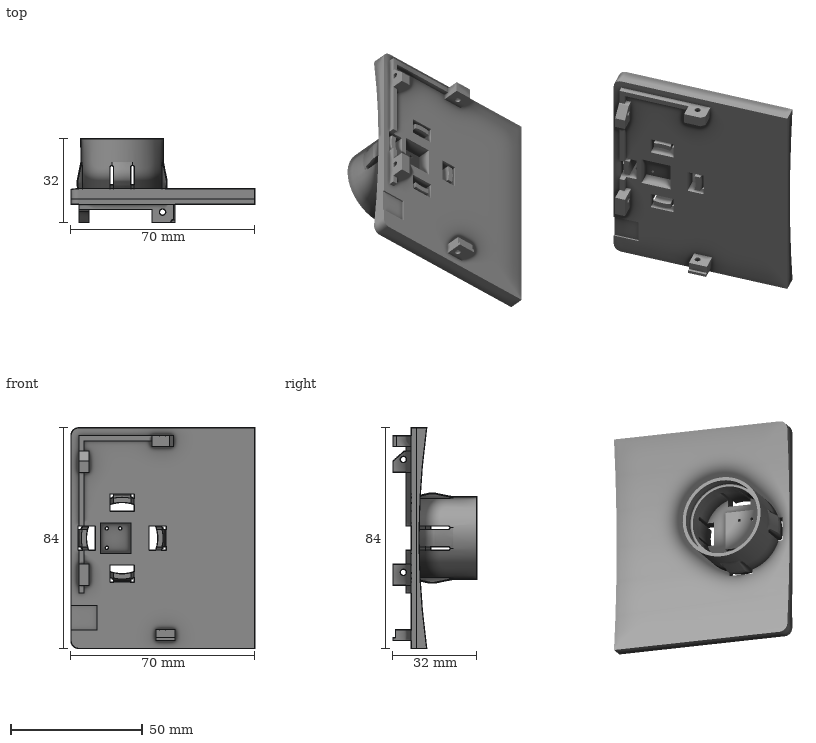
import cadquery as cq
PLATE_WIDTH = 70.0
PLATE_HEIGHT = 84.0
CORNER_RADIUS = 3.0

BACK_THICKNESS = 2.1
FRONT_CENTRE_Y = 3.0
FRONT_EDGE_Y = 6.0
CUP_END_Y = 25.0
TAB_DEPTH = 7.0

CUP_X = 19.5
CUP_RADIUS = 31.5 / 2
CUP_BORE_RADIUS = 13.5
RIM_BORE_RADIUS = 29.0 / 2
RIM_START_Y = 20.0

FLOOR_TOP_Y = 5.55
BOX_TOP_Y = 7.5
BOX_WALL = 1.5
POCKET_X = 17.05
POCKET_SIZE = 11.6
POCKET_FLOOR_Y = 5.5
LEAD_HOLE_DIAMETER = 1.2
LEAD_LEFT_X = 13.7
LEAD_PITCH_X = 5.0
LEAD_PITCH_Z = 7.4

FINGER_WIDTH = 6.6
FINGER_TIP_RADIUS = 15.5
FINGER_BULGE_RADIUS = 17.1
BULGE_START_Y = 7.05
BULGE_END_Y = 9.0
FINGER_ROOT_Y = 16.0
SLOT_SPAN = 9.15
SLOT_END_Y = 14.8
SLOT_WIDTH = (SLOT_SPAN - FINGER_WIDTH) / 2
WINDOW_INNER = 10.25
WINDOW_OUTER = 16.7
FINGER_ANGLES = (0, 90, 180, 270)

RIM_MARGIN = 3.0
RIB_SIZE = 2.0
RIB_BOTTOM_Z = -20.9
SIDE_TAB_WIDTH = 3.95
SIDE_TAB_HEIGHT = 8.1
UPPER_TAB_TOP_Z = 33.1
LOWER_TAB_TOP_Z = -9.9
UPPER_TAB_BEVEL_Y = 4.3
UPPER_TAB_BEVEL_Z = 3.9
TOP_TAB_LEFT_X = 30.8
TOP_TAB_WIDTH = 8.15
TOP_TAB_BEVEL = 1.4
END_TAB_HEIGHT = 4.2
BOTTOM_TAB_LEFT_X = 32.4
BOTTOM_TAB_WIDTH = 7.2
LIP_DEPTH = 1.0
LIP_HEIGHT = 1.2
PIN_HOLE_DIAMETER = 2.3
PIN_HOLE_Y = -2.9
PIN_HOLE_X = 34.9
UPPER_PIN_HOLE_Z = 29.9
LOWER_PIN_HOLE_Z = -13.0

RECESS_WIDTH = 9.9
RECESS_DEPTH = 0.6
RECESS_BOTTOM_Z = -34.9
RECESS_TOP_Z = -25.6


def block(x0, x1, y0, y1, z0, z1):
    """Box between two opposite corners."""
    return cq.Workplane("XY").box(x1 - x0, y1 - y0, z1 - z0, centered=False).translate((x0, y0, z0))


def rod_y(x, z, radius, y0, y1):
    """Cylinder along Y."""
    return cq.Workplane(cq.Solid.makeCylinder(radius, y1 - y0, cq.Vector(x, y0, z), cq.Vector(0, 1, 0)))


def around_cup(shape):
    """Copies of a shape made on the +X side of the cup, one per finger."""
    return [shape.rotate((CUP_X, 0, 0), (CUP_X, 1, 0), angle) for angle in FINGER_ANGLES]


def plate_blank(y0, y1):
    """Flat plate with its two left corners rounded."""
    blank = block(0, PLATE_WIDTH, y0, y1, -PLATE_HEIGHT / 2, PLATE_HEIGHT / 2)
    return blank.edges("|Y and <X").fillet(CORNER_RADIUS)


def window_cutter():
    """Opening for one finger, through the rib, both plates and the cup floor."""
    return block(CUP_X + WINDOW_INNER, CUP_X + WINDOW_OUTER, -TAB_DEPTH, BOX_TOP_Y, -SLOT_SPAN / 2, SLOT_SPAN / 2)


def pocket_cutter():
    """Square sensor pocket, open at the rear face."""
    half = POCKET_SIZE / 2
    return block(POCKET_X - half, POCKET_X + half, 0, POCKET_FLOOR_Y, -half, half)


def cut_plate_openings(plate):
    """Cut the finger windows and the sensor pocket."""
    for window in around_cup(window_cutter()):
        plate = plate.cut(window)
    return plate.cut(pocket_cutter())


def rib():
    """L-shaped rib along the left and top edges."""
    top = PLATE_HEIGHT / 2 - RIM_MARGIN
    upright = block(RIM_MARGIN, RIM_MARGIN + RIB_SIZE, -RIB_SIZE, 0, RIB_BOTTOM_Z, top)
    crossbar = block(RIM_MARGIN, TOP_TAB_LEFT_X, -RIB_SIZE, 0, top - RIB_SIZE, top)
    return upright.union(crossbar)


def side_tab(top_z, hole_z):
    """Tab on the left side with a pin hole along X."""
    right = RIM_MARGIN + SIDE_TAB_WIDTH
    tab = block(RIM_MARGIN, right, -TAB_DEPTH, 0, top_z - SIDE_TAB_HEIGHT, top_z)
    hole = cq.Solid.makeCylinder(
        PIN_HOLE_DIAMETER / 2, SIDE_TAB_WIDTH, cq.Vector(RIM_MARGIN, PIN_HOLE_Y, hole_z), cq.Vector(1, 0, 0)
    )
    return tab.cut(cq.Workplane(hole))


def upper_side_tab():
    """Side tab with its upper rear edge bevelled."""
    bevel = (
        cq.Workplane("YZ", origin=(RIM_MARGIN, 0, 0))
        .moveTo(-TAB_DEPTH, UPPER_TAB_TOP_Z)
        .lineTo(-TAB_DEPTH + UPPER_TAB_BEVEL_Y, UPPER_TAB_TOP_Z)
        .lineTo(-TAB_DEPTH, UPPER_TAB_TOP_Z - UPPER_TAB_BEVEL_Z)
        .close()
        .extrude(SIDE_TAB_WIDTH)
    )
    return side_tab(UPPER_TAB_TOP_Z, UPPER_PIN_HOLE_Z).cut(bevel)


def end_tab_hole(bottom_z):
    """Pin hole along Z through the top or bottom tab."""
    return cq.Workplane(
        cq.Solid.makeCylinder(PIN_HOLE_DIAMETER / 2, END_TAB_HEIGHT, cq.Vector(PIN_HOLE_X, PIN_HOLE_Y, bottom_z))
    )


def top_tab():
    """Tab at the end of the rib's crossbar, with one bevelled corner."""
    top = PLATE_HEIGHT / 2 - RIM_MARGIN
    bottom = top - END_TAB_HEIGHT
    tab = block(TOP_TAB_LEFT_X, TOP_TAB_LEFT_X + TOP_TAB_WIDTH, -TAB_DEPTH, 0, bottom, top)
    tab = tab.edges("|Z and >X and <Y").chamfer(TOP_TAB_BEVEL)
    return tab.cut(end_tab_hole(bottom))


def bottom_tab():
    """Tab near the bottom edge with a small lip at its rear."""
    bottom = -PLATE_HEIGHT / 2 + RIM_MARGIN
    right = BOTTOM_TAB_LEFT_X + BOTTOM_TAB_WIDTH
    shoulder_y = LIP_DEPTH - TAB_DEPTH
    tab = block(BOTTOM_TAB_LEFT_X, right, shoulder_y, 0, bottom, bottom + END_TAB_HEIGHT)
    lip = block(BOTTOM_TAB_LEFT_X, right, -TAB_DEPTH, shoulder_y, bottom, bottom + LIP_HEIGHT)
    return tab.union(lip).cut(end_tab_hole(bottom))


def make_back_plate():
    """Flat rear plate with its rib, four tabs, recess and openings."""
    plate = plate_blank(0, BACK_THICKNESS)
    plate = plate.union(rib())
    plate = plate.union(upper_side_tab())
    plate = plate.union(side_tab(LOWER_TAB_TOP_Z, LOWER_PIN_HOLE_Z))
    plate = plate.union(top_tab())
    plate = plate.union(bottom_tab())
    plate = plate.cut(block(0, RECESS_WIDTH, 0, RECESS_DEPTH, RECESS_BOTTOM_Z, RECESS_TOP_Z))
    return cut_plate_openings(plate)


def front_plate_envelope():
    """Front plate without openings: its outer face is a shallow hollow arc."""
    half = PLATE_HEIGHT / 2
    arc_slab = (
        cq.Workplane("YZ")
        .moveTo(BACK_THICKNESS, -half)
        .lineTo(FRONT_EDGE_Y, -half)
        .threePointArc((FRONT_CENTRE_Y, 0), (FRONT_EDGE_Y, half))
        .lineTo(BACK_THICKNESS, half)
        .close()
        .extrude(PLATE_WIDTH)
    )
    return arc_slab.intersect(plate_blank(BACK_THICKNESS, FRONT_EDGE_Y))


def make_front_plate():
    """Hollow-faced front plate with the finger windows and the pocket."""
    return cut_plate_openings(front_plate_envelope())


def slot_pair():
    """Round-ended slots on both sides of the finger on the +X side."""
    radius = SLOT_WIDTH / 2
    offset = (FINGER_WIDTH + SLOT_WIDTH) / 2
    arc_centre_y = SLOT_END_Y - radius
    slots = cq.Workplane("XY")
    for z in (-offset, offset):
        straight = block(CUP_X, CUP_X + FINGER_BULGE_RADIUS, 0, arc_centre_y, z - radius, z + radius)
        end = cq.Solid.makeCylinder(
            radius, FINGER_BULGE_RADIUS, cq.Vector(CUP_X, arc_centre_y, z), cq.Vector(1, 0, 0)
        )
        slots = slots.add(straight.union(cq.Workplane(end)))
    return slots.combine()


def solid_finger():
    """Snap finger on the +X side, still solid inwards to the cup axis.

    The turned sector is trimmed along the middle of the slots beside the finger.
    """
    profile = [
        (0, 0),
        (FINGER_TIP_RADIUS, 0),
        (FINGER_BULGE_RADIUS, BULGE_START_Y),
        (FINGER_BULGE_RADIUS, BULGE_END_Y),
        (CUP_RADIUS, FINGER_ROOT_Y),
        (0, FINGER_ROOT_Y),
    ]
    axis = ((0, 0, 0), (0, 1, 0))
    sector = cq.Workplane("XY").polyline(profile).close().revolve(180, *axis)
    sector = sector.rotate(*axis, 90)
    if sector.val().BoundingBox().xmax < 0.8:
        sector = sector.rotate(*axis, 180)
    half = (FINGER_WIDTH + SLOT_WIDTH) / 2
    trim = block(CUP_X, CUP_X + FINGER_BULGE_RADIUS, 0, FINGER_ROOT_Y, -half, half)
    return sector.translate((CUP_X, 0, 0)).intersect(trim)


def cup_wall():
    """Tube with snap fingers and slots; its bore is wider in the rim."""
    wall = rod_y(CUP_X, 0, CUP_RADIUS, BACK_THICKNESS, CUP_END_Y)
    for snap_finger in around_cup(solid_finger()):
        wall = wall.union(snap_finger)
    wall = wall.cut(rod_y(CUP_X, 0, CUP_BORE_RADIUS, 0, CUP_END_Y))
    wall = wall.cut(rod_y(CUP_X, 0, RIM_BORE_RADIUS, RIM_START_Y, CUP_END_Y))
    for slots in around_cup(slot_pair()):
        wall = wall.cut(slots)
    return wall


def cup_floor():
    """Disc with a raised box behind the pocket, windows and lead holes."""
    half_box = POCKET_SIZE / 2 + BOX_WALL
    floor = rod_y(CUP_X, 0, CUP_BORE_RADIUS, BACK_THICKNESS, FLOOR_TOP_Y)
    box = block(POCKET_X - half_box, POCKET_X + half_box, BACK_THICKNESS, BOX_TOP_Y, -half_box, half_box)
    floor = floor.union(box)
    for window in around_cup(window_cutter()):
        floor = floor.cut(window)
    floor = floor.cut(pocket_cutter())
    right_x = LEAD_LEFT_X + LEAD_PITCH_X
    half_pitch = LEAD_PITCH_Z / 2
    for x, z in ((LEAD_LEFT_X, half_pitch), (right_x, half_pitch), (LEAD_LEFT_X, -half_pitch)):
        floor = floor.cut(rod_y(x, z, LEAD_HOLE_DIAMETER / 2, 0, BOX_TOP_Y))
    return floor


def make_cup(front_plate):
    """Cup whose base follows the hollow face of the front plate."""
    return cup_wall().union(cup_floor()).cut(front_plate)


back_plate = make_back_plate()
front_plate = make_front_plate()
cup = make_cup(front_plate)

result = cq.Compound.makeCompound([back_plate.val(), front_plate.val(), cup.val()])